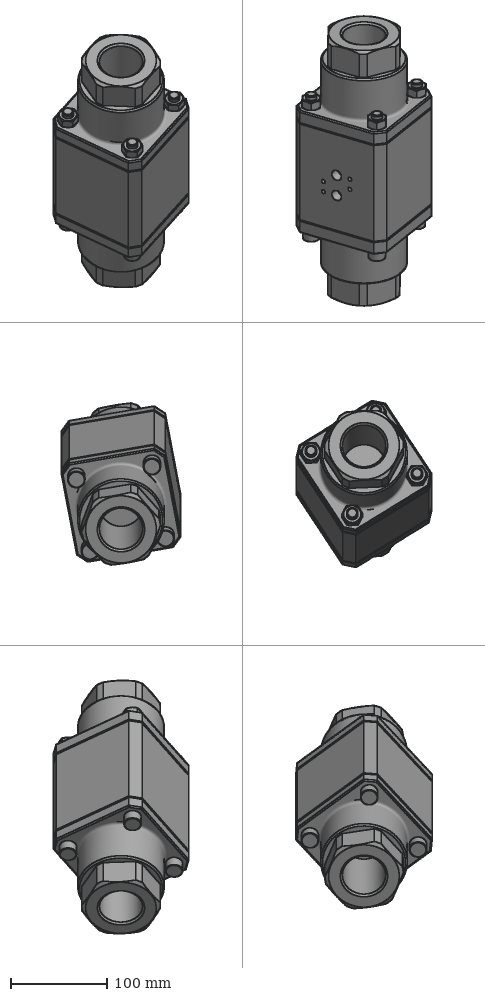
import cadquery as cq
import math

length = 304.0
width = 110.0
corner_cut = 10.0
housing_half = 72.7
plate_thickness = 15.0
plate_edge_chamfer = 1.5
seam_width = 1.0
seam_depth = 1.0

neck_diameter = 90.0
neck_end = 122.2
neck_chamfer = 1.8
neck_root_fillet = 3.0
hex_flats = 74.8
hex_rounding_diameter = 82.0
hex_top_diameter = 73.5
hex_chamfer_height = 2.0
bore_diameter = 45.0
bore_depth = 79.0
bore_chamfer = 2.0

bolt_spacing = 80.0
bolt_diameter = 12.0
bolt_end = 87.5
bolt_chamfer = 1.2
nut_flats = 19.0
nut_height = 10.0
nut_face_diameter = 18.2
nut_chamfer_height = 1.2
head_diameter = 18.0
head_height = 11.5
head_chamfer = 0.5

port_pitch = 24.0
port_center_z = -3.0
port_diameter = 11.5
port_depth = 12.2
pilot_diameter = 3.0
pilot_depth = 6.0
screw_hole_diameter = 4.3
screw_hole_depth = 9.0
screw_hole_offset_y = 16.0
drill_point_angle = 118.0


def block(size, cut, bottom, top):
    """Square block with cut vertical corners between two heights."""
    return (
        cq.Workplane("XY", origin=(0, 0, bottom))
        .rect(size, size)
        .extrude(top - bottom)
        .edges("|Z")
        .chamfer(cut)
    )


def chamfered_hex(flats, rounding_diameter, top_diameter, chamfer_height, bottom, top):
    """Hexagon with flats facing X, trimmed by a cylinder that tapers at the top."""
    corners = flats / math.cos(math.pi / 6)
    prism = (
        cq.Workplane("XY", origin=(0, 0, bottom))
        .transformed(rotate=(0, 0, 30))
        .polygon(6, corners)
        .extrude(top - bottom)
    )
    envelope = (
        cq.Workplane("XZ")
        .moveTo(0, bottom)
        .lineTo(rounding_diameter / 2, bottom)
        .lineTo(rounding_diameter / 2, top - chamfer_height)
        .lineTo(top_diameter / 2, top)
        .lineTo(0, top)
        .close()
        .revolve(360, (0, 0, 0), (0, 1, 0))
    )
    return prism.intersect(envelope)


def housing():
    body = block(width, corner_cut, -housing_half, housing_half)
    body = body.faces("<Z or >Z").edges().chamfer(plate_edge_chamfer)
    core_width = width - 2 * seam_depth
    seam_z = housing_half - plate_thickness
    for z in (-seam_z, seam_z):
        bottom = z - seam_width / 2
        top = z + seam_width / 2
        core_cut = corner_cut - seam_depth * (2 - math.sqrt(2))
        ring = block(width + 3, corner_cut, bottom, top).cut(block(core_width, core_cut, bottom, top))
        body = body.cut(ring)
    return body


def connection():
    """Upper neck with its flared root and hexagon end."""
    radius = neck_diameter / 2
    root_radius = radius + neck_root_fillet
    root_top = housing_half + neck_root_fillet
    neck = (
        cq.Workplane("XZ")
        .lineTo(root_radius, 0)
        .lineTo(root_radius, housing_half)
        .radiusArc((radius, root_top), neck_root_fillet)
        .lineTo(radius, neck_end - neck_chamfer)
        .lineTo(radius - neck_chamfer, neck_end)
        .lineTo(0, neck_end)
        .close()
        .revolve(360, (0, 0, 0), (0, 1, 0))
    )
    hexagon = chamfered_hex(
        hex_flats, hex_rounding_diameter, hex_top_diameter, hex_chamfer_height, neck_end, length / 2
    )
    return neck.union(hexagon)


def bore():
    """Blind bore of the upper connection with a chamfered mouth."""
    radius = bore_diameter / 2
    end = length / 2
    return (
        cq.Workplane("XZ")
        .moveTo(0, end - bore_depth)
        .lineTo(radius, end - bore_depth)
        .lineTo(radius, end - bore_chamfer)
        .lineTo(radius + bore_chamfer, end)
        .lineTo(0, end)
        .close()
        .revolve(360, (0, 0, 0), (0, 1, 0))
    )


def tie_bolt():
    """Bolt on the Z axis: shank end and nut above the housing, head below it."""
    shank = (
        cq.Workplane("XY")
        .circle(bolt_diameter / 2)
        .extrude(bolt_end)
        .faces(">Z")
        .chamfer(bolt_chamfer)
    )
    half_height = nut_height / 2
    nut_corners = nut_flats / math.cos(math.pi / 6)
    nut_half = chamfered_hex(nut_flats, nut_corners, nut_face_diameter, nut_chamfer_height, 0, half_height)
    nut = nut_half.union(nut_half.mirror("XY")).translate((0, 0, housing_half + half_height))
    head = (
        cq.Workplane("XY", origin=(0, 0, -housing_half))
        .circle(head_diameter / 2)
        .extrude(-head_height)
        .faces("<Z")
        .chamfer(head_chamfer)
    )
    return shank, nut, head


def side_hole(y, z, diameter, depth):
    """Straight hole bored from the -X side."""
    return cq.Workplane("YZ", origin=(-width / 2, y, z)).circle(diameter / 2).extrude(depth)


def screw_hole(y, z):
    """Blind hole in the -X side with a conical drill point."""
    radius = screw_hole_diameter / 2
    point_depth = radius / math.tan(math.radians(drill_point_angle / 2))
    return (
        cq.Workplane("XY", origin=(-width / 2, y, z))
        .lineTo(0, radius)
        .lineTo(screw_hole_depth, radius)
        .lineTo(screw_hole_depth + point_depth, 0)
        .close()
        .revolve(360, (0, 0, 0), (1, 0, 0))
    )


result = housing()

upper_connection = connection()
result = result.union(upper_connection).union(upper_connection.mirror("XY"))
upper_bore = bore()
result = result.cut(upper_bore).cut(upper_bore.mirror("XY"))

for x in (-bolt_spacing / 2, bolt_spacing / 2):
    for y in (-bolt_spacing / 2, bolt_spacing / 2):
        for piece in tie_bolt():
            result = result.union(piece.translate((x, y, 0)))

upper_port_z = port_center_z + port_pitch / 2
lower_port_z = port_center_z - port_pitch / 2
for z in (lower_port_z, upper_port_z):
    result = result.cut(side_hole(0, z, port_diameter, port_depth))
    result = result.cut(side_hole(0, z, pilot_diameter, port_depth + pilot_depth))

for y, outer_z in ((screw_hole_offset_y, lower_port_z), (-screw_hole_offset_y, upper_port_z)):
    for z in (outer_z, port_center_z):
        result = result.cut(screw_hole(y, z))